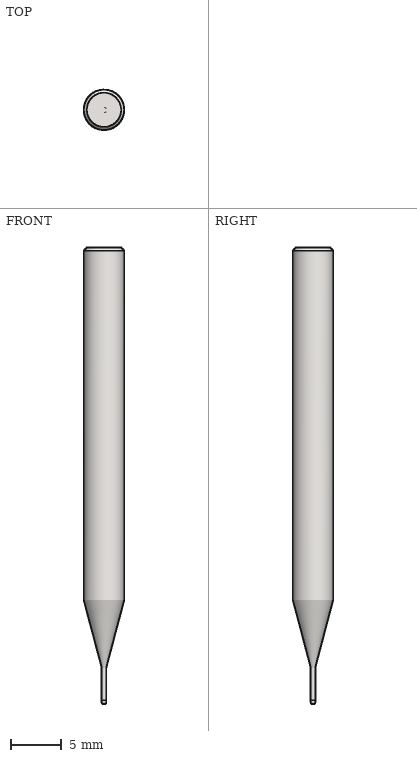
import cadquery as cq

total_length = 45.0
shank_diameter = 4.0
end_chamfer = 0.3

tip_diameter = 0.5
head_length = 0.4

neck_start = 3.65
taper_end_diameter = 0.65
taper_start = 3.9
shank_start = 10.25

tip_z = -total_length / 2
top_z = total_length / 2
shank_radius = shank_diameter / 2
tip_radius = tip_diameter / 2
taper_end_radius = taper_end_diameter / 2
head_top_z = tip_z + head_length


def make_shank():
    """Chamfered shank tapering down to a slender neck, revolved about Z."""
    profile = (
        cq.Workplane("XZ")
        .moveTo(0, head_top_z)
        .lineTo(tip_radius, head_top_z)
        .lineTo(tip_radius, tip_z + neck_start)
        .lineTo(taper_end_radius, tip_z + taper_start)
        .lineTo(shank_radius, tip_z + shank_start)
        .lineTo(shank_radius, top_z - end_chamfer)
        .lineTo(shank_radius - end_chamfer, top_z)
        .lineTo(0, top_z)
        .close()
    )
    return profile.revolve(360, (0, 0, 0), (0, 1, 0))


def make_cutting_head():
    """Cylindrical head with a hemispherical nose, seated against the neck."""
    profile = (
        cq.Workplane("XZ")
        .moveTo(0, tip_z)
        .radiusArc((tip_radius, tip_z + tip_radius), -tip_radius)
        .lineTo(tip_radius, head_top_z)
        .lineTo(0, head_top_z)
        .close()
    )
    return profile.revolve(360, (0, 0, 0), (0, 1, 0))


shank = make_shank()
cutting_head = make_cutting_head()

result = cq.Compound.makeCompound([shank.val(), cutting_head.val()])